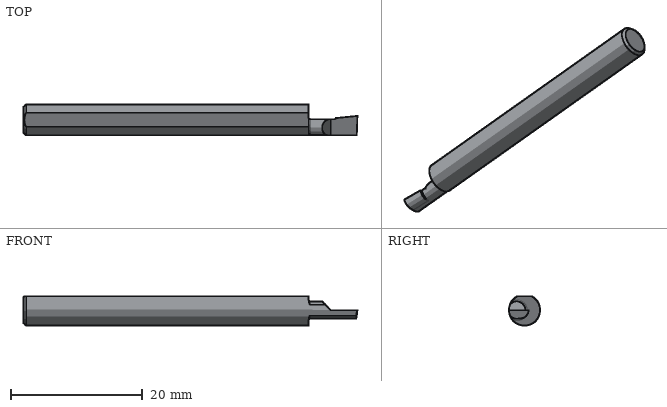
import cadquery as cq
import math

total_length = 50.8
shank_diameter = 4.75
overall_height = 4.5
shank_radius = shank_diameter / 2
shank_length = 43.37
flat_height = overall_height - shank_radius
rear_chamfer = 0.4

neck_radius = 1.32
neck_edge_y = 0.12
neck_center_y = neck_edge_y - neck_radius
neck_fillet = 0.25

rake_start_x = 46.7
ramp_angle = 45.5
step_start_x = 47.35
step_end_x = 47.5
step_offset = 0.17
tip_offset = 0.5
end_relief_angle = 7.0
end_plan_angle = 2.0
tip_y = neck_edge_y + tip_offset


def make_shank():
    bar = cq.Workplane("YZ").circle(shank_radius).extrude(shank_length)
    bar = bar.faces("<X").chamfer(rear_chamfer)
    above_flat = (
        cq.Workplane("XY")
        .workplane(offset=flat_height)
        .rect(2 * shank_length, 2 * shank_diameter)
        .extrude(shank_radius)
    )
    return bar.cut(above_flat)


def make_neck():
    """Round neck with a root fillet, revolved about its own axis."""
    arc_reach = neck_fillet * (1 - math.sqrt(0.5))
    fillet_end_x = shank_length + neck_fillet
    return (
        cq.Workplane("XY")
        .moveTo(shank_length, 0)
        .lineTo(shank_length, neck_radius + neck_fillet)
        .threePointArc(
            (shank_length + arc_reach, neck_radius + arc_reach),
            (fillet_end_x, neck_radius),
        )
        .lineTo(total_length, neck_radius)
        .lineTo(total_length, 0)
        .close()
        .revolve(360, (0, 0, 0), (1, 0, 0))
        .translate((0, neck_center_y, 0))
    )


def make_head():
    """Neck section drifting towards +Y: a short step, then a slow flare to the tip."""
    return (
        cq.Workplane("YZ", origin=(step_start_x, 0, 0))
        .center(neck_center_y, 0)
        .circle(neck_radius)
        .workplane(offset=step_end_x - step_start_x)
        .center(step_offset, 0)
        .circle(neck_radius)
        .workplane(offset=total_length - step_end_x)
        .center(tip_offset - step_offset, 0)
        .circle(neck_radius)
        .loft(ruled=True)
    )


def make_rake_cut():
    """Space above the rake face, with a ramp at its rear."""
    cut_height = shank_diameter
    ramp_run = cut_height / math.tan(math.radians(ramp_angle))
    return (
        cq.Workplane("XZ")
        .moveTo(rake_start_x, 0)
        .lineTo(total_length, 0)
        .lineTo(total_length, cut_height)
        .lineTo(rake_start_x - ramp_run, cut_height)
        .close()
        .extrude(shank_diameter, both=True)
    )


def make_end_cut():
    """Space beyond the end face, which leans back in both directions from the tip."""
    size = 4 * shank_diameter
    return (
        cq.Workplane("XY")
        .box(size, size, size, centered=(False, True, True))
        .rotate((0, 0, 0), (0, 1, 0), end_relief_angle)
        .rotate((0, 0, 0), (0, 0, 1), -end_plan_angle)
        .translate((total_length, tip_y, 0))
    )


shank_outline = cq.Workplane("YZ").circle(shank_radius).extrude(total_length)
tool_end = make_neck().union(make_head()).intersect(shank_outline)
tool_end = tool_end.cut(make_rake_cut()).cut(make_end_cut())

result = make_shank().union(tool_end)